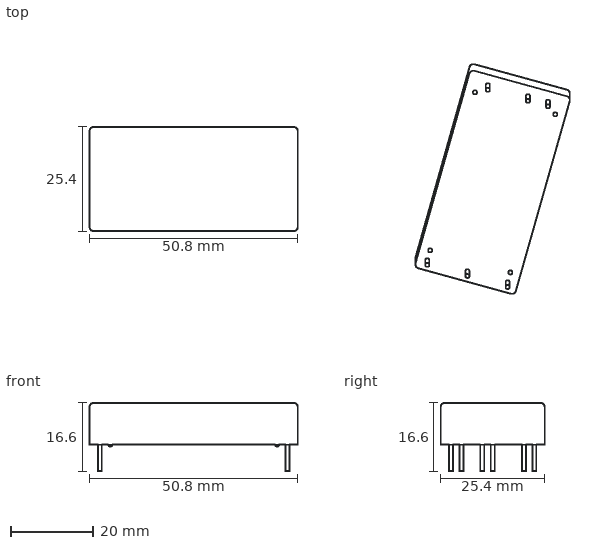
import cadquery as cq

length = 50.8
width = 25.4
total_height = 16.65
case_height = 10.15
edge_radius = 1.0

pitch = 2.55
pin_diameter = 1.0
pin_length = total_height - case_height
pin_row_x = 9 * pitch
left_pin_steps = (-3, -1, 3)
right_pin_steps = (-4, 0, 4)

standoff_x = 8 * pitch
standoff_y = 4 * pitch
standoff_radius = 0.5


def make_case():
    """Block with rounded upright and top edges; its underside is at Z = 0."""
    block = cq.Workplane("XY").box(length, width, case_height, centered=(True, True, False))
    return block.edges("|Z or >Z").fillet(edge_radius)


def make_pins():
    left = [(-pin_row_x, step * pitch) for step in left_pin_steps]
    right = [(pin_row_x, step * pitch) for step in right_pin_steps]
    return cq.Workplane("XY").pushPoints(left + right).circle(pin_diameter / 2).extrude(-pin_length)


def make_standoffs():
    """Domes centred on the underside; their upper halves lie inside the case."""
    return (
        cq.Workplane("XY")
        .rect(2 * standoff_x, 2 * standoff_y, forConstruction=True)
        .vertices()
        .sphere(standoff_radius)
    )


result = make_case().union(make_pins()).union(make_standoffs())